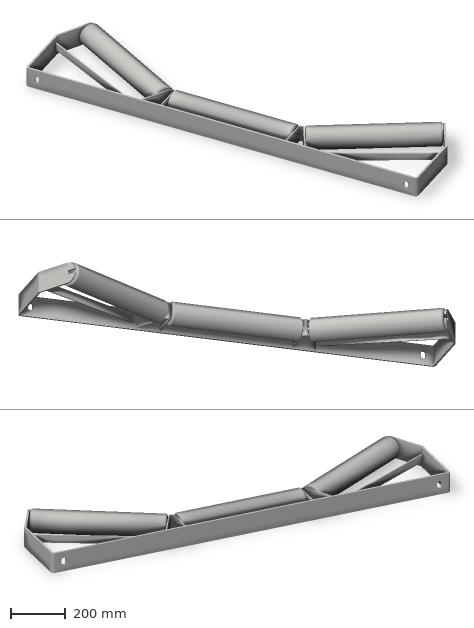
import cadquery as cq
import math


overall_length = 1600.0
strip_height = 80.0
strip_thickness = 8.0
frame_bend_radius = 11.0
side_height = 243.0
arm_tilt = 30.0
arm_reach = 138.0

roller_diameter = 90.0
roller_length = 500.0
roller_edge_chamfer = 5.0
shaft_diameter = 15.0
roller_gap = 3.0
middle_roller_y = 100.0

bracket_thickness = 5.0
bracket_bend_radius = 13.0
bracket_height = 64.0

brace_height = 30.0
brace_thickness = 5.6
brace_top_y = 232.0
brace_foot_x = 357.0

mount_hole_width = 20.0
mount_hole_height = 29.0
mount_hole_inset = 46.0

half_length = overall_length / 2
tilt = math.radians(arm_tilt)
arm_direction = (math.sin(tilt), math.cos(tilt))
axis_direction = (math.cos(tilt), -math.sin(tilt))
journal_length = roller_gap + strip_thickness
bracket_journal_length = roller_gap + bracket_thickness


def moved(point, direction, distance):
    return (point[0] + direction[0] * distance, point[1] + direction[1] * distance)


arm_corner = (-half_length, side_height)
arm_seat = moved(arm_corner, arm_direction, arm_reach)
side_outer_end = moved(arm_seat, axis_direction, journal_length)
side_inner_end = moved(side_outer_end, axis_direction, roller_length)
bracket_seat = moved(side_inner_end, axis_direction, roller_gap)
middle_seat = (-roller_length / 2 - roller_gap, middle_roller_y)


def mirrored(shape):
    return shape.mirror("YZ")


def crossing(point, direction, other, other_direction):
    """Point where two lines meet."""
    cross = direction[0] * other_direction[1] - direction[1] * other_direction[0]
    gap = (other[0] - point[0], other[1] - point[1])
    return moved(point, direction, (gap[0] * other_direction[1] - gap[1] * other_direction[0]) / cross)


def offset_path(path, distance):
    """Open path shifted to its right-hand side, with sharp corners."""
    lines = []
    for start, end in zip(path, path[1:]):
        length = math.dist(start, end)
        direction = ((end[0] - start[0]) / length, (end[1] - start[1]) / length)
        normal = (direction[1], -direction[0])
        lines.append((moved(start, normal, distance), moved(end, normal, distance), direction))
    corners = [crossing(a[0], a[2], b[0], b[2]) for a, b in zip(lines, lines[1:])]
    return [lines[0][0], *corners, lines[-1][1]]


def bent_strip(path, thickness, height, bend_radius):
    """Folded flat strip with one face on the path and its thickness to the right of it."""
    back_path = offset_path(path, thickness)
    strip = cq.Workplane("XY").polyline(path + back_path[::-1]).close().extrude(height / 2, both=True)
    bends = [(path, bend_radius), (back_path, bend_radius - abs(thickness))]
    for corners, radius in bends:
        for corner in corners[1:-1]:
            strip = strip.edges("|Z").edges(cq.NearestToPointSelector((*corner, 0))).fillet(radius)
    return strip


def shaft_slot(seat, up, along, thickness):
    """Cutter for an open slot with a round bottom that holds a shaft and runs upwards from it."""
    depth = 2 * roller_diameter
    plane = cq.Plane(origin=(*seat, 0), xDir=(*up, 0), normal=(*along, 0))
    bottom = cq.Workplane(plane).circle(shaft_diameter / 2).extrude(thickness)
    sides = cq.Workplane(plane).center(depth / 2, 0).rect(depth, shaft_diameter).extrude(thickness)
    return bottom.union(sides)


def arm_end_trim():
    """Cutter that leaves the end of the left arm fully rounded about the roller axis."""
    plane = cq.Plane(origin=(*arm_seat, 0), xDir=(*arm_direction, 0), normal=(*axis_direction, 0))
    block = cq.Workplane(plane).center(strip_height, 0).rect(2 * strip_height, 2 * strip_height)
    return block.extrude(strip_thickness).cut(
        cq.Workplane(plane).circle(strip_height / 2).extrude(strip_thickness)
    )


def make_frame():
    arm_end = moved(arm_seat, arm_direction, strip_height / 2)
    left = [arm_end, arm_corner, (-half_length, 0)]
    right = [(-x, y) for x, y in reversed(left)]
    frame = bent_strip(left + right, -strip_thickness, strip_height, frame_bend_radius)

    trim = arm_end_trim().union(shaft_slot(arm_seat, arm_direction, axis_direction, strip_thickness))
    hole_x = half_length - mount_hole_inset
    holes = (
        cq.Workplane("XZ")
        .pushPoints([(-hole_x, 0), (hole_x, 0)])
        .slot2D(mount_hole_height, mount_hole_width, 90)
        .extrude(-strip_thickness)
    )
    return frame.cut(trim).cut(mirrored(trim)).cut(holes)


def make_bracket():
    """Left folded bracket: a sloping leg for the side roller and an upright leg for the middle one."""
    up = (0, 1)
    foot_level = (0, strip_thickness)
    flat = (1, 0)
    fold = crossing(bracket_seat, arm_direction, middle_seat, up)
    slope_foot = crossing(bracket_seat, arm_direction, foot_level, flat)
    upright_foot = (middle_seat[0], strip_thickness)
    path = [slope_foot, fold, upright_foot]
    bracket = bent_strip(path, bracket_thickness, bracket_height, bracket_bend_radius)
    ground = cq.Workplane("XY").rect(overall_length, 2 * strip_thickness).extrude(strip_height, both=True)
    bracket = bracket.cut(ground)
    bracket = bracket.cut(shaft_slot(bracket_seat, arm_direction, axis_direction, bracket_thickness))
    return bracket.cut(shaft_slot(middle_seat, up, (-1, 0), bracket_thickness))


def make_roller(start, direction, start_journal, end_journal):
    """Chamfered roller with its shaft as one solid; start is the middle of its first end face."""
    along = (*direction, 0)
    body = cq.Workplane(cq.Plane(origin=(*start, 0), xDir=(0, 0, 1), normal=along))
    body = body.circle(roller_diameter / 2).extrude(roller_length).edges().chamfer(roller_edge_chamfer)

    shaft_start = moved(start, direction, -start_journal)
    plane = cq.Plane(origin=(*shaft_start, 0), xDir=(0, 0, 1), normal=along)
    shaft_length = start_journal + roller_length + end_journal
    shaft = cq.Workplane(plane).circle(shaft_diameter / 2).extrude(shaft_length)
    return body.union(shaft)


def make_brace():
    """Left diagonal flat bar from the frame's side down to its base."""
    inside = -half_length + strip_thickness
    top = (inside, brace_top_y)
    foot = (-brace_foot_x, strip_thickness)
    lower_start, lower_end = offset_path([top, foot], brace_thickness)
    slope = (foot[0] - top[0], foot[1] - top[1])
    lower_top = crossing(lower_start, slope, top, (0, 1))
    lower_foot = crossing(lower_end, slope, foot, (1, 0))
    outline = [top, foot, lower_foot, lower_top]
    return cq.Workplane("XY").polyline(outline).close().extrude(brace_height / 2, both=True)


frame = make_frame()

left_bracket = make_bracket()
left_brace = make_brace()
left_roller = make_roller(side_outer_end, axis_direction, journal_length, bracket_journal_length)
middle_start = (-roller_length / 2, middle_roller_y)
middle_roller = make_roller(middle_start, (1, 0), bracket_journal_length, bracket_journal_length)

result = cq.Compound.makeCompound(
    [frame.val(), middle_roller.val()]
    + [part.val() for left in (left_bracket, left_brace, left_roller) for part in (left, mirrored(left))]
)